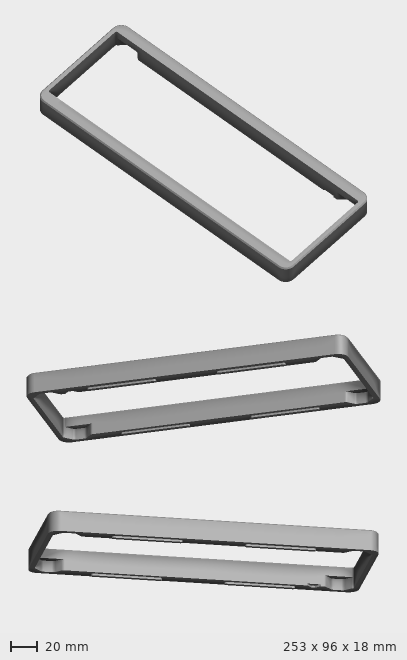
import cadquery as cq

length, width = 253.0, 96.0
total_height = 18.0
ridge_height = 1.5
body_height = total_height - ridge_height
corner_radius = 8.0
outer_chamfer = 1.0

end_wall, side_rail = 4.3, 9.5
opening_radius = 1.3
opening_x = length / 2 - end_wall
opening_y = width / 2 - side_rail

ridge_width, ridge_length = 3.3, 54.0
ridge_spacing_x = 102.0
ridge_inset = 5.0
ridge_spacing_y = width - 2 * ridge_inset

pocket_start, pocket_end = 100.5, 121.1
pocket_depth, pocket_height = 5.8, 8.9
pocket_radius = 3.0

notch_start, notch_end = 86.5, 96.9
notch_depth, notch_height = 3.8, 1.5


def make_frame():
    block = cq.Workplane("XY").rect(length, width).extrude(body_height)
    block = block.edges("|Z").fillet(corner_radius)
    block = block.faces(">Z").edges().chamfer(outer_chamfer)
    opening = cq.Workplane("XY").rect(2 * opening_x, 2 * opening_y).extrude(body_height)
    opening = opening.edges("|Z").fillet(opening_radius)
    return block.cut(opening)


def make_ridges():
    centres = cq.Workplane("XY").rarray(ridge_spacing_x, ridge_spacing_y, 2, 2)
    return centres.slot2D(ridge_length, ridge_width).extrude(-ridge_height)


def make_recess(start, end, depth, height):
    """Trapezoidal cutter with 45 degree sides, sunk into the inner face of the +Y rail."""
    back_y = opening_y + depth
    front_y = opening_y - depth
    outline = cq.Workplane("XY").polyline([
        (start - depth, front_y),
        (start - depth, opening_y),
        (start, opening_y),
        (start + depth, back_y),
        (end - depth, back_y),
        (end, opening_y),
        (end, front_y),
    ])
    return outline.close().extrude(height)


def round_pocket(pocket):
    """Round the entry edge and the two back corners of a pocket cutter."""
    back_corners = pocket.faces(">Y").edges("|Z").fillet(pocket_radius)
    entry = cq.selectors.NearestToPointSelector((pocket_start, opening_y, pocket_height / 2))
    return back_corners.edges("|Z").edges(entry).fillet(pocket_radius)


result = make_frame().union(make_ridges())

pocket = round_pocket(make_recess(pocket_start, pocket_end, pocket_depth, pocket_height))
for end_pocket in (pocket, pocket.mirror("YZ")):
    result = result.cut(end_pocket).cut(end_pocket.mirror("XZ"))

result = result.cut(make_recess(notch_start, notch_end, notch_depth, notch_height))